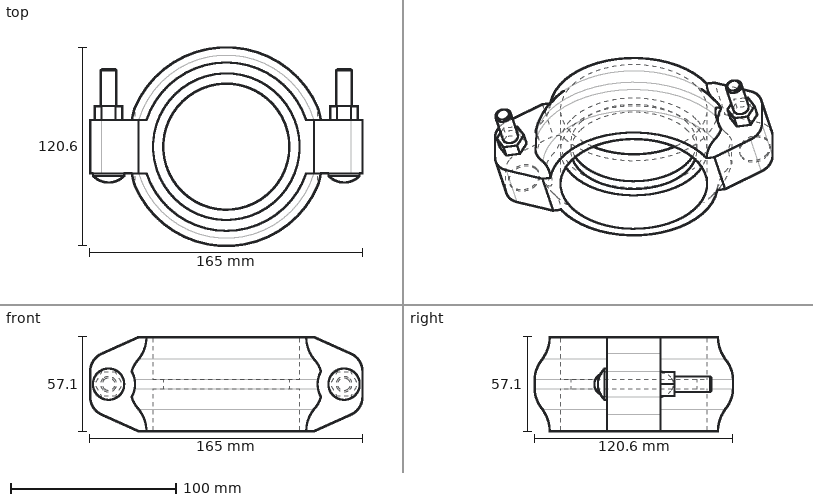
import cadquery as cq
import math

total_height = 57.1
half_height = total_height / 2
rim_radius = 51.0
crease_radius = 55.5
crease_z = 15.2
belt_radius = 60.3
belt_half_height = 2.8
socket_diameter = 88.8
bore_diameter = 76.3
lip_half_height = 3.0

half_length = 82.5
ear_depth = 32.4
ear_face_y = ear_depth / 2
taper_start_x = 53.2
ear_corner_z = 15.4
ear_corner_radius = 11.9

bolt_x = 71.3
bolt_diameter = 9.5
bolt_end_y = 47.0
bolt_chamfer = 1.0
nut_across_flats = 14.5
nut_height = 8.5
head_diameter = 19.0
head_rim_height = 1.5
head_height = 5.6
clearance_radius = 16.0


def arc_middle(tangent_point, end, bulge):
    """Middle of the arc that leaves tangent_point parallel to Z and reaches end.

    bulge is +1 when the arc centre lies on the larger-radius side, -1 when it lies inward.
    """
    rise = abs(end[1] - tangent_point[1])
    run = abs(end[0] - tangent_point[0])
    radius = (rise**2 + run**2) / (2 * run)
    half_angle = math.asin(rise / radius) / 2
    direction = math.copysign(1, end[1] - tangent_point[1])
    return (
        tangent_point[0] + bulge * radius * (1 - math.cos(half_angle)),
        tangent_point[1] + direction * radius * math.sin(half_angle),
    )


def ring_body():
    """Solid of revolution: hollow flanks at the rims, rounded shoulders at the belt."""
    rim = (rim_radius, half_height)
    crease = (crease_radius, crease_z)
    belt = (belt_radius, belt_half_height)
    upper_half = (
        cq.Workplane("XZ")
        .lineTo(belt_radius, 0)
        .lineTo(*belt)
        .threePointArc(arc_middle(belt, crease, -1), crease)
        .threePointArc(arc_middle(rim, crease, 1), rim)
        .lineTo(0, half_height)
        .close()
        .revolve(360, (0, 0, 0), (0, 1, 0))
    )
    return upper_half.union(upper_half.mirror("XY"))


def along_y(x, start_y):
    """Workplane on a bolt axis at start_y, extruding toward +Y."""
    return cq.Workplane("XZ", origin=(x, start_y, 0)).transformed(rotate=(180, 0, 0))


def bolt_clearance(x):
    """Space around the bolt head and the nut, outside the ear faces."""
    front = along_y(x, -belt_radius).circle(clearance_radius).extrude(belt_radius - ear_face_y)
    return front.union(front.mirror("XZ"))


def ears():
    """Bar through both ears."""
    corners = [
        (half_length, -ear_corner_z),
        (half_length, ear_corner_z),
        (taper_start_x, half_height),
        (-taper_start_x, half_height),
        (-half_length, ear_corner_z),
        (-half_length, -ear_corner_z),
        (-taper_start_x, -half_height),
        (taper_start_x, -half_height),
    ]
    bar = cq.Workplane("XZ").polyline(corners).close().extrude(ear_face_y, both=True)
    end_edges = bar.edges("|Y").edges("<X or >X")
    return end_edges.fillet(ear_corner_radius)


def bore():
    """Through bore with a wider socket above and below a central lip."""
    through = cq.Workplane("XY").circle(bore_diameter / 2).extrude(half_height, both=True)
    socket = (
        cq.Workplane("XY", origin=(0, 0, lip_half_height))
        .circle(socket_diameter / 2)
        .extrude(half_height - lip_half_height)
    )
    return through.union(socket).union(socket.mirror("XY"))


def bolt(x):
    """Bolt with a domed head on the -Y face and a hexagonal nut on the +Y face."""
    shank = (
        along_y(x, -ear_face_y)
        .circle(bolt_diameter / 2)
        .extrude(ear_face_y + bolt_end_y)
        .faces(">Y")
        .chamfer(bolt_chamfer)
    )
    nut_across_corners = nut_across_flats / math.cos(math.pi / 6)
    nut = along_y(x, ear_face_y).polygon(6, nut_across_corners).extrude(nut_height)

    head_radius = head_diameter / 2
    dome_height = head_height - head_rim_height
    dome_radius = (head_radius**2 + dome_height**2) / (2 * dome_height)
    half_angle = math.asin(head_radius / dome_radius) / 2
    dome_middle = (
        dome_radius * math.sin(half_angle),
        -head_height + dome_radius * (1 - math.cos(half_angle)),
    )
    head = (
        cq.Workplane("XY", origin=(x, -ear_face_y, 0))
        .lineTo(head_radius, 0)
        .lineTo(head_radius, -head_rim_height)
        .threePointArc(dome_middle, (0, -head_height))
        .close()
        .revolve(360, (0, 0, 0), (0, 1, 0))
    )
    return shank.union(nut).union(head)


bolt_positions = (-bolt_x, bolt_x)

result = ring_body()
for x in bolt_positions:
    result = result.cut(bolt_clearance(x))
result = result.union(ears()).cut(bore())
for x in bolt_positions:
    result = result.union(bolt(x))